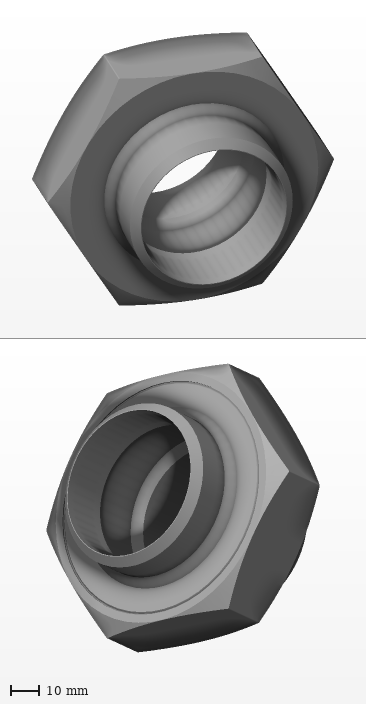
import cadquery as cq
import math

length = 69.0
across_corners = 106.1

hex_sides = 6
hex_start = 19.2
hex_end = 45.8
corner_radius = 0.5
face_diameter = 91.9
hex_chamfer_angle = 30.0

pipe_diameter = 60.4
end_chamfer = 3.1
shoulder = 3.2
bore_diameter = 53.7

groove_outer_diameter = 85.9
groove_inner_diameter = 85.1
groove_depth = 0.5

chamber_inset = 0.3
chamber_step = 3.2

pipe_radius = pipe_diameter / 2
bore_radius = bore_diameter / 2
face_radius = face_diameter / 2
shoulder_radius = pipe_radius + shoulder

cos_half_corner = math.cos(math.pi / hex_sides)
sharp_corners = across_corners + 2 * corner_radius * (1 / cos_half_corner - 1)


def turned(points):
    """Revolve an outline of (x, radius) points about the X axis."""
    return cq.Workplane("XY").polyline(points).close().revolve(360, (0, 0, 0), (1, 0, 0))


def hexagon_band():
    """Hexagon with corners on +Y and -Y, and both faces chamfered by a cone."""
    prism = (
        cq.Workplane("YZ", origin=(hex_start, 0, 0))
        .polygon(hex_sides, sharp_corners)
        .extrude(hex_end - hex_start)
        .edges("|X")
        .fillet(corner_radius)
    )
    outer_radius = sharp_corners / 2
    cone_length = (outer_radius - face_radius) * math.tan(math.radians(hex_chamfer_angle))
    envelope = turned([
        (hex_start, 0),
        (hex_start, face_radius),
        (hex_start + cone_length, outer_radius),
        (hex_end - cone_length, outer_radius),
        (hex_end, face_radius),
        (hex_end, 0),
    ])
    return prism.intersect(envelope)


def pipe_body():
    """Pipe with chamfered ends and a conical shoulder on each side of the hexagon."""
    return turned([
        (0, 0),
        (0, pipe_radius - end_chamfer),
        (end_chamfer, pipe_radius),
        (hex_start - shoulder, pipe_radius),
        (hex_start, shoulder_radius),
        (hex_end, shoulder_radius),
        (hex_end + shoulder, pipe_radius),
        (length - end_chamfer, pipe_radius),
        (length, pipe_radius - end_chamfer),
        (length, 0),
    ])


def face_groove():
    """Ring cut into the -X face, flaring out to the face along its inner wall."""
    outer_radius = groove_outer_diameter / 2
    inner_radius = groove_inner_diameter / 2
    return turned([
        (hex_start, inner_radius - groove_depth),
        (hex_start + groove_depth, inner_radius),
        (hex_start + groove_depth, outer_radius),
        (hex_start, outer_radius),
    ])


def bore():
    """Through bore that opens into the wider chamber inside the hexagon."""
    chamber_start = hex_start + chamber_inset
    chamber_end = hex_end - chamber_inset
    chamber_radius = bore_radius + chamber_step
    return turned([
        (0, 0),
        (0, bore_radius),
        (chamber_start, bore_radius),
        (chamber_start + chamber_step, chamber_radius),
        (chamber_end - chamber_step, chamber_radius),
        (chamber_end, bore_radius),
        (length, bore_radius),
        (length, 0),
    ])


result = hexagon_band().union(pipe_body()).cut(face_groove()).cut(bore())